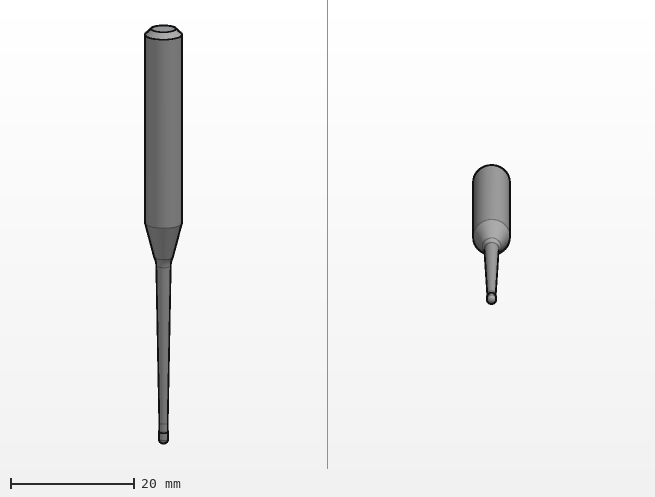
import cadquery as cq
import math

total_length = 70.0
shank_radius = 3.0
shank_chamfer = 1.0

ball_radius = 0.8
head_top = 1.95

relief_height = 0.2
neck_radius = 0.7
straight_neck_top = 3.5
taper_top = 30.0
taper_top_radius = 1.2

cone_bottom = 31.5
cone_bottom_radius = 1.55
cone_top = 37.25


def revolve_about_z(profile):
    """Turn a closed half-profile drawn in the XZ plane about the Z axis."""
    return profile.close().revolve(360, (0, 0, 0), (0, 1, 0))


def make_cutting_head():
    """Cylinder with a hemispherical tip."""
    arc_offset = ball_radius * math.sqrt(0.5)
    profile = (
        cq.Workplane("XZ")
        .moveTo(0, 0)
        .threePointArc((arc_offset, ball_radius - arc_offset), (ball_radius, ball_radius))
        .lineTo(ball_radius, head_top)
        .lineTo(0, head_top)
    )
    return revolve_about_z(profile)


def make_shank():
    """Relieved neck, taper, blend, cone and chamfered shank in one turned solid."""
    profile = (
        cq.Workplane("XZ")
        .moveTo(0, head_top)
        .lineTo(ball_radius, head_top)
        .lineTo(neck_radius, head_top + relief_height)
        .lineTo(neck_radius, straight_neck_top)
        .lineTo(taper_top_radius, taper_top)
        .tangentArcPoint((cone_bottom_radius, cone_bottom), relative=False)
        .lineTo(shank_radius, cone_top)
        .lineTo(shank_radius, total_length - shank_chamfer)
        .lineTo(shank_radius - shank_chamfer, total_length)
        .lineTo(0, total_length)
    )
    return revolve_about_z(profile)


cutting_head = make_cutting_head()
shank = make_shank()

result = cq.Compound.makeCompound([cutting_head.val(), shank.val()])